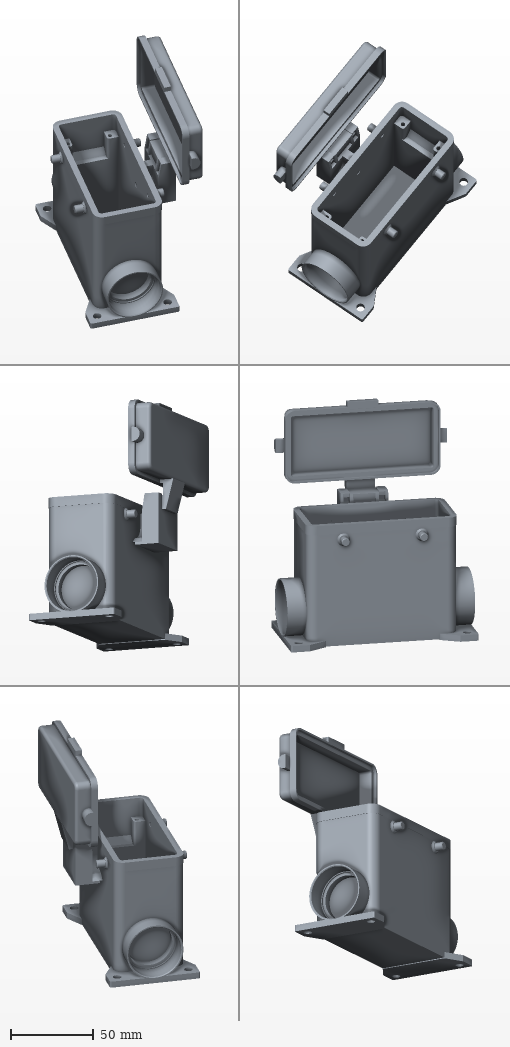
import cadquery as cq
import math


rim_length = 94.4
rim_width = 43.9
rim_top = 77.2
rim_bottom = 71.3
rim_end_overhang = 0.4
rim_side_overhang = 0.1
body_bottom = 0.5
body_corner_radius = 6.0
wall = 3.8
cavity_corner_radius = 2.0
floor_top = 3.5
body_length = rim_length - 2 * rim_end_overhang
body_half_width = rim_width / 2 - rim_side_overhang
cavity_length = rim_length - 2 * wall
cavity_width = rim_width - 2 * wall
end_wall_inside = cavity_length / 2
side_wall_inside = cavity_width / 2

foot_end = 58.5
foot_half_width = 28.25
foot_height = 4.0
foot_taper_start = 47.0
foot_inner_end = 35.6
foot_corner_radius = 1.0
foot_hole_radius = 2.6
foot_hole_x = 52.5
foot_hole_y = 22.4

entry_height = 20.5
entry_radius = 17.75
entry_bore_radius = 16.5
entry_mouth_chamfer = 0.5
entry_seat_x = 46.4
entry_step_radius = 15.9
entry_step_depth = 1.0
entry_pocket_radius = 14.1
entry_end_x = 40.4

end_slope_foot = 39.4
end_pad_top = 53.0
end_pad_face = 36.1
post_length = end_wall_inside - end_pad_face
post_width = 7.2
post_edge_radius = 1.5
post_top = 64.8
post_screw_x = 38.8
post_screw_y = 13.4
post_screw_radius = 1.3
post_screw_depth = 12.0

pin_x = 24.4
pin_height = 67.6
pin_radius = 2.55
pin_tip = foot_half_width
pin_tip_chamfer = 0.4
pin_collar_wall_radius = 4.0
pin_collar_top_radius = 3.0
pin_collar_height = 1.1
socket_depth = 0.5
pin_socket_radius = 1.6
bracket_socket_radius = 1.8
bracket_socket_height = 56.0

bracket_half_length = 14.9
bracket_back = 39.0
bracket_front = 28.2
bracket_top_front = 29.8
bracket_bottom = 50.3
bracket_top = 81.6
bracket_slope_bottom = 71.5
bracket_lip_front = 23.6
bracket_lip_top = 51.9
bracket_wall = 1.7
bay_inner_x = 9.0
bay_face = 30.3
bay_face_top = 81.0
bay_back = 33.5
bay_top = 78.5
bay_shelf_top = 75.0
centre_roof_drop = 0.8
window_half_length = 7.0
window_top = 80.4
window_back = 30.0

ridge_half_length = 2.7
pedestal_arc_radius = 8.4
pedestal_arc_bottom = 55.1

lid_centre_z = 111.4
lid_length = 96.8
lid_height = 46.0
lid_front = 33.25
lid_flange_back = 37.5
lid_back = 47.0
lid_body_inset = 2.1
lid_corner_radius = 6.0
lid_back_fillet = 2.0
lid_step_inset = 1.1
lid_step_depth = 2.0
lid_pocket_inset = 3.9
lid_pocket_corner_radius = 1.5
lid_pocket_depth = 10.3
lid_bottom = lid_centre_z - lid_height / 2
lid_top = lid_centre_z + lid_height / 2

tab_half_length = 9.6
tab_top = 137.75
peg_end = 53.4
peg_radius = 4.4
peg_centre_y = 38.6

arm_half_length = 9.0
arm_lid_back = 46.3
arm_bottom = 72.2
arm_bottom_back = 41.5
arm_front = 39.6
arm_embed = 0.5


def box(x0, x1, y0, y1, z0, z1):
    """Block between two opposite corners."""
    return cq.Workplane("XY").box(x1 - x0, y1 - y0, z1 - z0, centered=False).translate((x0, y0, z0))


def rounded_block(length, width, radius, z0, z1):
    """Upright block with rounded vertical edges, centred on the Z axis."""
    block = box(-length / 2, length / 2, -width / 2, width / 2, z0, z1)
    return block.edges("|Z").fillet(radius)


def lid_block(inset, radius, y0, y1):
    """Rounded slab following the lid outline, moved inwards by inset."""
    slab = box(
        inset - lid_length / 2, lid_length / 2 - inset, y0, y1, lid_bottom + inset, lid_top - inset
    )
    return slab.edges("|Y").fillet(radius)


def cylinder_y(x, z, radius, y0, y1):
    """Cylinder along Y between y0 and y1."""
    return cq.Workplane(cq.Solid.makeCylinder(radius, y1 - y0, cq.Vector(x, y0, z), cq.Vector(0, 1, 0)))


def cylinder_x(y, z, radius, x0, x1):
    """Cylinder along X between x0 and x1."""
    return cq.Workplane(cq.Solid.makeCylinder(radius, x1 - x0, cq.Vector(x0, y, z), cq.Vector(1, 0, 0)))


def side_profile(points, half_length):
    """Prism along X, centred on X = 0, from (y, z) points."""
    return cq.Workplane("YZ").polyline(points).close().extrude(half_length, both=True)


def both_ends(shape):
    """The shape together with its mirror image at the other end of the part."""
    return shape.union(shape.mirror("YZ"))


def make_foot():
    """Mounting foot at the -X end, narrowing towards the body."""
    outline = [
        (-foot_end, -foot_half_width),
        (-foot_taper_start, -foot_half_width),
        (-foot_inner_end, -body_half_width),
        (-foot_inner_end, body_half_width),
        (-foot_taper_start, foot_half_width),
        (-foot_end, foot_half_width),
    ]
    foot = cq.Workplane("XY").polyline(outline).close().extrude(foot_height)
    foot = foot.edges("|Z and <X").fillet(foot_corner_radius)
    holes = [(-foot_hole_x, -foot_hole_y), (-foot_hole_x, foot_hole_y)]
    drills = cq.Workplane("XY").pushPoints(holes).circle(foot_hole_radius).extrude(foot_height)
    return foot.cut(drills)


def make_shell():
    """Solid outside of the housing: body, rim, feet and cable entry collars."""
    shell = rounded_block(
        body_length, 2 * body_half_width, body_corner_radius - rim_side_overhang, body_bottom, rim_top
    )
    shell = shell.union(rounded_block(rim_length, rim_width, body_corner_radius, rim_bottom, rim_top))
    shell = shell.union(both_ends(make_foot()))
    return shell.union(cylinder_x(0, entry_height, entry_radius, -foot_end, foot_end))


def make_end_pad():
    """Thickened inside of the -X end wall with a slope rising from its flat top."""
    pad_shoulder = end_pad_top - (end_wall_inside - end_slope_foot)
    profile = [
        (-end_wall_inside, floor_top),
        (-end_pad_face, floor_top),
        (-end_pad_face, pad_shoulder),
        (-end_slope_foot, pad_shoulder),
        (-end_wall_inside, end_pad_top),
    ]
    return cq.Workplane("XZ").polyline(profile).close().extrude(side_wall_inside, both=True)


def make_post(side):
    """Screw post in the -X corner on the given Y side."""
    outer_y = side * side_wall_inside
    inner_y = side * (side_wall_inside - post_width)
    post = box(
        -end_wall_inside,
        post_length - end_wall_inside,
        min(outer_y, inner_y),
        max(outer_y, inner_y),
        floor_top,
        post_top,
    )
    free_edge = "|Z and >X and " + ("<Y" if side > 0 else ">Y")
    post = post.edges(free_edge).fillet(post_edge_radius)
    screw = cq.Workplane("XY").circle(post_screw_radius).extrude(-post_screw_depth)
    return post.cut(screw.translate((-post_screw_x, side * post_screw_y, post_top)))


def make_cavity():
    """Empty space inside the housing, around the end pads and the screw posts."""
    cavity = rounded_block(cavity_length, cavity_width, cavity_corner_radius, floor_top, rim_top)
    fittings = make_end_pad().union(make_post(-1)).union(make_post(1))
    return cavity.cut(both_ends(fittings))


def make_entry_bore():
    """Blind bore of the -X collar: chamfered mouth, stepped seat and a narrower closed end."""
    bore = cylinder_x(0, entry_height, entry_bore_radius, -foot_end, -entry_seat_x)
    step = cylinder_x(
        0, entry_height, entry_step_radius, -entry_seat_x, entry_step_depth - entry_seat_x
    )
    mouth = cq.Workplane(
        cq.Solid.makeCone(
            entry_bore_radius + entry_mouth_chamfer,
            entry_bore_radius,
            entry_mouth_chamfer,
            cq.Vector(-foot_end, 0, entry_height),
            cq.Vector(1, 0, 0),
        )
    )
    pocket = cylinder_x(0, entry_height, entry_pocket_radius, -entry_seat_x, -entry_end_x)
    return bore.union(step).union(pocket).union(mouth)


def make_housing():
    """Hollow housing whose cable entries are closed off from the cavity."""
    housing = make_shell().cut(make_cavity())
    return housing.cut(both_ends(make_entry_bore()))


def make_pin(x):
    """Locking pin on the front wall with a conical collar at its root."""
    pin = cylinder_y(x, pin_height, pin_radius, -pin_tip, -side_wall_inside - socket_depth)
    pin = pin.faces("<Y").chamfer(pin_tip_chamfer)
    collar = cq.Solid.makeCone(
        pin_collar_wall_radius,
        pin_collar_top_radius,
        pin_collar_height,
        cq.Vector(x, -body_half_width, pin_height),
        cq.Vector(0, -1, 0),
    )
    return pin.union(cq.Workplane(collar))


def make_sockets():
    """Shallow round recesses inside the walls behind the pins and the bracket."""
    back_end = side_wall_inside + socket_depth
    sockets = cylinder_y(0, bracket_socket_height, bracket_socket_radius, side_wall_inside, back_end)
    for x in (-pin_x, pin_x):
        sockets = sockets.union(cylinder_y(x, pin_height, pin_socket_radius, side_wall_inside, back_end))
        sockets = sockets.union(cylinder_y(x, pin_height, pin_socket_radius, -back_end, -side_wall_inside))
    return sockets


def make_pedestal():
    """Ridge on the back wall that spreads through concave arcs into a wide base."""
    arc_foot_x = ridge_half_length + pedestal_arc_radius
    arc_top = pedestal_arc_bottom + pedestal_arc_radius
    arc_mid_x = arc_foot_x - pedestal_arc_radius * math.sqrt(0.5)
    arc_mid_z = arc_top - pedestal_arc_radius * math.sqrt(0.5)
    profile = (
        cq.Workplane("XZ")
        .moveTo(-bracket_half_length, bracket_lip_top)
        .lineTo(bracket_half_length, bracket_lip_top)
        .lineTo(arc_foot_x, pedestal_arc_bottom)
        .threePointArc((arc_mid_x, arc_mid_z), (ridge_half_length, arc_top))
        .lineTo(ridge_half_length, bracket_slope_bottom)
        .lineTo(-ridge_half_length, bracket_slope_bottom)
        .lineTo(-ridge_half_length, arc_top)
        .threePointArc((-arc_mid_x, arc_mid_z), (-arc_foot_x, pedestal_arc_bottom))
        .close()
    )
    root = body_half_width - wall / 2
    return profile.extrude(root - bracket_front).translate((0, root, 0))


def make_bracket():
    """Hinge bracket: a hood with a shallow centre window and an open bay on each side."""
    outline = [
        (bracket_back, bracket_bottom),
        (bracket_lip_front, bracket_bottom),
        (bracket_lip_front, bracket_lip_top),
        (bracket_front, bracket_lip_top),
        (bracket_front, bracket_slope_bottom),
        (bracket_top_front, bracket_top),
        (bracket_back, bracket_top),
    ]
    bracket = side_profile(outline, bracket_half_length)
    bay_end = bracket_half_length - bracket_wall
    recess = box(
        bay_inner_x, bay_end, bracket_lip_front, bay_face, bracket_slope_bottom, bay_face_top
    )
    opening = box(bay_inner_x, bay_end, bracket_lip_front, bay_back, bay_shelf_top, bay_top)
    bracket = bracket.cut(both_ends(recess.union(opening)))
    window = box(
        -window_half_length,
        window_half_length,
        bracket_lip_front,
        window_back,
        bracket_slope_bottom,
        window_top,
    )
    roof_step = box(
        -bay_inner_x, bay_inner_x, bracket_front, bracket_back, bracket_top - centre_roof_drop, bracket_top
    )
    return bracket.cut(window).cut(roof_step)


def make_lid():
    """Lid shell with its flange, handle tab and side pegs."""
    body_radius = lid_corner_radius - lid_body_inset
    lid = lid_block(lid_body_inset, body_radius, lid_front, lid_back)
    lid = lid.faces(">Y").edges().fillet(lid_back_fillet)
    lid = lid.union(lid_block(0, lid_corner_radius, lid_front, lid_flange_back))

    tab_root = lid_top - lid_step_inset
    tab = box(-tab_half_length, tab_half_length, lid_front, lid_flange_back, tab_root, tab_top)
    pegs = cylinder_x(peg_centre_y, lid_centre_z, peg_radius, -peg_end, peg_end)
    behind_flange = box(-peg_end, peg_end, lid_flange_back, lid_back, lid_bottom, lid_top)
    lid = lid.union(tab).union(pegs.intersect(behind_flange))

    step_back = lid_front + lid_step_depth
    lid = lid.cut(lid_block(lid_step_inset, lid_corner_radius - lid_step_inset, lid_front, step_back))
    pocket_back = lid_front + lid_pocket_depth
    return lid.cut(lid_block(lid_pocket_inset, lid_pocket_corner_radius, lid_front, pocket_back))


def make_arm():
    """Tapered arm from the underside of the lid down to the back of the bracket."""
    lid_underside = lid_bottom + lid_body_inset
    roof = bracket_top - centre_roof_drop
    outline = [
        (arm_lid_back - lid_back_fillet, lid_underside + lid_back_fillet),
        (arm_lid_back, lid_underside),
        (arm_bottom_back, arm_bottom),
        (bracket_back - arm_embed, arm_bottom),
        (bracket_back - arm_embed, roof),
        (arm_front, roof),
        (arm_front, lid_bottom),
        (lid_flange_back, lid_bottom),
        (lid_flange_back, lid_underside),
        (arm_front, lid_underside),
    ]
    return side_profile(outline, arm_half_length)


result = make_housing()
for x in (-pin_x, pin_x):
    pin = make_pin(x)
    result = result.union(pin).union(pin.mirror("XZ"))
result = result.cut(make_sockets())
result = result.union(make_pedestal()).union(make_bracket())
result = result.union(make_lid()).union(make_arm())